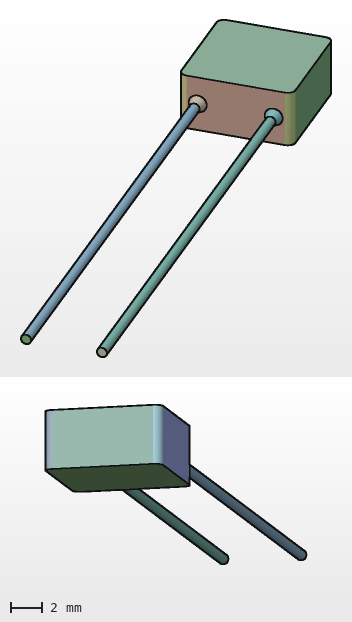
import cadquery as cq

overall_length = 39.97
case_side = 7.65
case_height = 3.8
corner_radius = 0.5

lead_pitch = 5.08
lead_diameter = 0.68
lead_length = overall_length - case_side

collar_length = 0.6
collar_base_diameter = 1.2
collar_tip_diameter = lead_diameter

front_face_y = -case_side / 2
lead_positions = [-lead_pitch / 2, lead_pitch / 2]


def make_lead(x):
    """Straight round lead that starts on the front face of the case."""
    start = cq.Vector(x, front_face_y, 0)
    return cq.Solid.makeCylinder(lead_diameter / 2, lead_length, start, cq.Vector(0, -1, 0))


def make_collar(x):
    """Tapered collar, still without the hole for its lead."""
    base = cq.Vector(x, front_face_y, 0)
    return cq.Solid.makeCone(
        collar_base_diameter / 2,
        collar_tip_diameter / 2,
        collar_length,
        base,
        cq.Vector(0, -1, 0),
    )


def make_case(leads):
    """Block with rounded upright corners and a collar fitted around each lead."""
    case = cq.Workplane("XY").box(case_side, case_side, case_height)
    case = case.edges("|Z").fillet(corner_radius)
    for x in lead_positions:
        case = case.union(make_collar(x))
    for lead in leads:
        case = case.cut(lead)
    return case


leads = [make_lead(x) for x in lead_positions]
case = make_case(leads)

result = cq.Compound.makeCompound([case.val(), *leads])